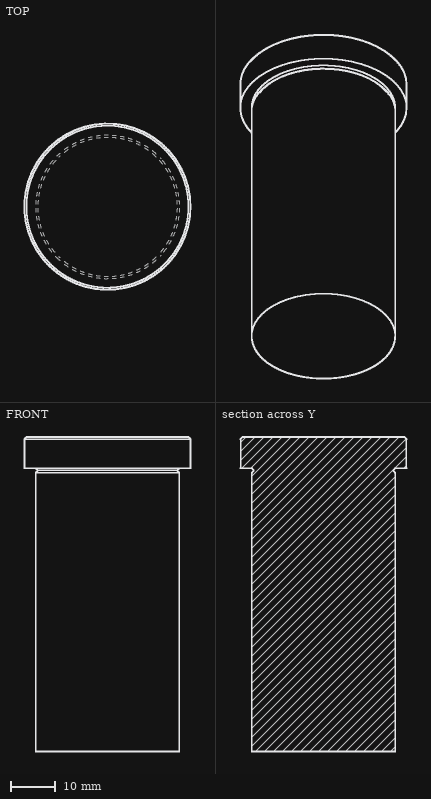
import cadquery as cq

total_height = 70.0
head_diameter = 37.0
head_height = 7.0
shank_diameter = 32.0

head_chamfer = 0.5
groove_depth = 0.5
groove_width = 2 * groove_depth

head_radius = head_diameter / 2
shank_radius = shank_diameter / 2
groove_radius = shank_radius - groove_depth
head_underside = total_height - head_height
groove_bottom = head_underside - groove_width

profile = (
    cq.Workplane("XZ")
    .moveTo(0, 0)
    .lineTo(shank_radius, 0)
    .lineTo(shank_radius, groove_bottom)
    .lineTo(groove_radius, groove_bottom + groove_width / 2)
    .lineTo(shank_radius, head_underside)
    .lineTo(head_radius, head_underside)
    .lineTo(head_radius, total_height - head_chamfer)
    .lineTo(head_radius - head_chamfer, total_height)
    .lineTo(0, total_height)
    .close()
)

result = profile.revolve(360, (0, 0, 0), (0, 1, 0))